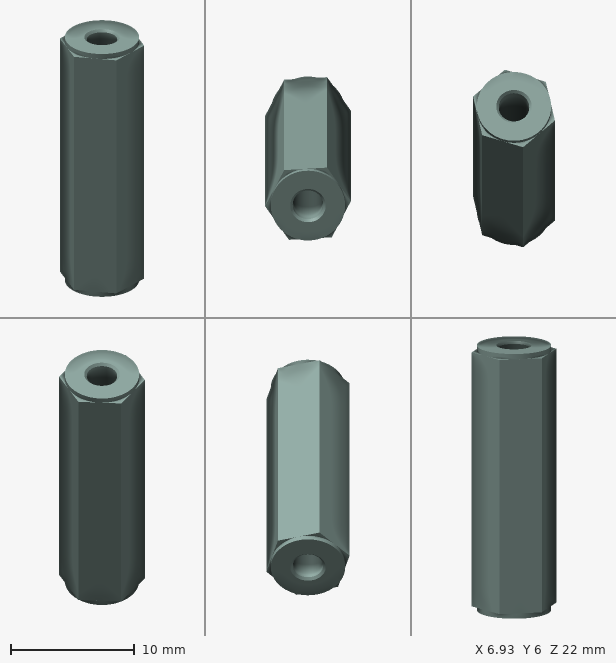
import cadquery as cq
import math

length = 22.0
across_flats = 6.0
across_corners = across_flats / math.cos(math.radians(30))
collar_height = 0.45
hex_length = length - 2 * collar_height

bore_diameter = 2.46
bore_depth = 7.92
mouth_diameter = 2.85
mouth_chamfer = (mouth_diameter - bore_diameter) / 2


def make_body():
    """Hexagonal prism with flats facing +Y and -Y, on a full-length round core."""
    core = cq.Workplane("XY").circle(across_flats / 2).extrude(length)
    prism = (
        cq.Workplane("XY", origin=(0, 0, collar_height))
        .polygon(6, across_corners)
        .extrude(hex_length)
    )
    return core.union(prism)


def make_top_bore():
    """Flat-bottomed bore with a chamfered mouth, open at the top face."""
    profile = [
        (0, length),
        (mouth_diameter / 2, length),
        (bore_diameter / 2, length - mouth_chamfer),
        (bore_diameter / 2, length - bore_depth),
        (0, length - bore_depth),
    ]
    return cq.Workplane("XZ").polyline(profile).close().revolve(360, (0, 0), (0, 1))


top_bore = make_top_bore()
bottom_bore = top_bore.mirror("XY", (0, 0, length / 2))
result = make_body().cut(top_bore).cut(bottom_bore)